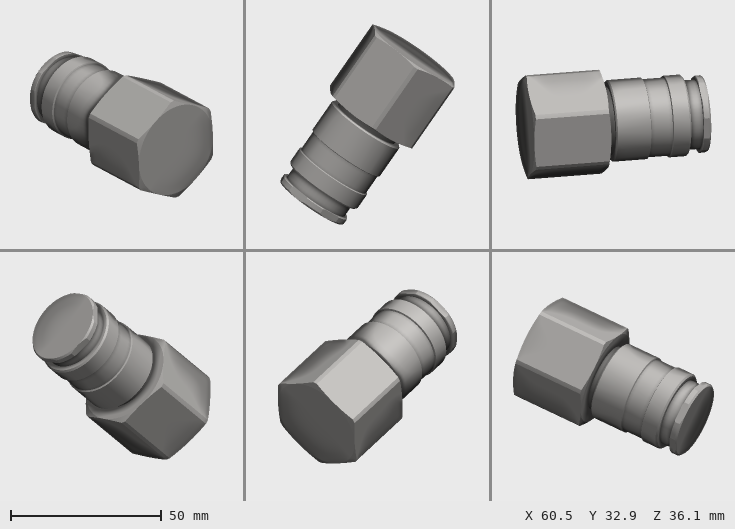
import cadquery as cq
import math


TOTAL_LENGTH = 60.45
COLLAR_LENGTH = 2.55
SLEEVE_START = 6.85
SLEEVE_END = 32.2
HEX_START = 34.45

FLAT_TO_CORNER_ANGLE = 30

COLLAR_DIAMETER = 26.0
COLLAR_FACE_DIAMETER = 24.9
COLLAR_ACROSS_FLATS = 24.95
COLLAR_FRONT_BEVEL = 0.6
COLLAR_REAR_CHAMFER = 0.2

FRONT_NECK_DIAMETER = 23.1
REAR_NECK_DIAMETER = 22.7

HEX_ACROSS_FLATS = 32.0
HEX_CORNER_DIAMETER = 36.1
HEX_BEVEL_LENGTH = 0.6
HEX_TILT = 3.2

SLEEVE_DIAMETER = 27.15
SLEEVE_FRONT_CHAMFER = 0.55
SLEEVE_REAR_CHAMFER = 0.5
BAND_DIAMETER = 26.0
BAND_START = 12.8
BAND_END = 20.5
BAND_WALL_LENGTH = 0.25


def revolve_about_x(profile):
    """Solid of revolution from (station, radius) points."""
    return cq.Workplane("XY").polyline(profile).close().revolve(360, (0, 0, 0), (1, 0, 0))


def hexagonal_bar(start, length, across_flats, tilt=0.0):
    """Hexagonal bar along X with two of its flats facing -Y and +Y before the tilt."""
    corner_to_corner = across_flats / math.cos(math.radians(FLAT_TO_CORNER_ANGLE))
    bar = cq.Workplane("YZ", origin=(start, 0, 0)).polygon(6, corner_to_corner).extrude(length)
    return bar.rotate((0, 0, 0), (1, 0, 0), FLAT_TO_CORNER_ANGLE + tilt)


def make_collar():
    """Bevelled disc with six flats, leaving arcs of the disc between them."""
    radius = COLLAR_DIAMETER / 2
    disc = revolve_about_x([
        (0, 0),
        (0, COLLAR_FACE_DIAMETER / 2),
        (COLLAR_FRONT_BEVEL, radius),
        (COLLAR_LENGTH - COLLAR_REAR_CHAMFER, radius),
        (COLLAR_LENGTH, radius - COLLAR_REAR_CHAMFER),
        (COLLAR_LENGTH, 0),
    ])
    return disc.intersect(hexagonal_bar(0, COLLAR_LENGTH, COLLAR_ACROSS_FLATS))


def make_shaft():
    """Plain shaft that steps down where it leaves the sleeve."""
    return revolve_about_x([
        (COLLAR_LENGTH, 0),
        (COLLAR_LENGTH, FRONT_NECK_DIAMETER / 2),
        (SLEEVE_END, FRONT_NECK_DIAMETER / 2),
        (SLEEVE_END, REAR_NECK_DIAMETER / 2),
        (HEX_START, REAR_NECK_DIAMETER / 2),
        (HEX_START, 0),
    ])


def make_hexagon():
    """Hexagon with turned corners, bevelled at both ends down to a circle that meets the flats."""
    face_radius = HEX_ACROSS_FLATS / 2
    corner_radius = HEX_CORNER_DIAMETER / 2
    turned_blank = revolve_about_x([
        (HEX_START, 0),
        (HEX_START, face_radius),
        (HEX_START + HEX_BEVEL_LENGTH, corner_radius),
        (TOTAL_LENGTH - HEX_BEVEL_LENGTH, corner_radius),
        (TOTAL_LENGTH, face_radius),
        (TOTAL_LENGTH, 0),
    ])
    bar = hexagonal_bar(HEX_START, TOTAL_LENGTH - HEX_START, HEX_ACROSS_FLATS, HEX_TILT)
    return turned_blank.intersect(bar)


def make_core():
    """Collar, shaft and hexagon in one piece."""
    return make_collar().union(make_shaft()).union(make_hexagon())


def make_sleeve():
    """Grip ring that fits the front neck, with a recessed band around it."""
    bore_radius = FRONT_NECK_DIAMETER / 2
    radius = SLEEVE_DIAMETER / 2
    band_radius = BAND_DIAMETER / 2
    return revolve_about_x([
        (SLEEVE_START, bore_radius),
        (SLEEVE_START, radius - SLEEVE_FRONT_CHAMFER),
        (SLEEVE_START + SLEEVE_FRONT_CHAMFER, radius),
        (BAND_START, radius),
        (BAND_START + BAND_WALL_LENGTH, band_radius),
        (BAND_END - BAND_WALL_LENGTH, band_radius),
        (BAND_END, radius),
        (SLEEVE_END - SLEEVE_REAR_CHAMFER, radius),
        (SLEEVE_END, radius - SLEEVE_REAR_CHAMFER),
        (SLEEVE_END, bore_radius),
    ])


core = make_core()
sleeve = make_sleeve()

result = cq.Compound.makeCompound([core.val(), sleeve.val()])